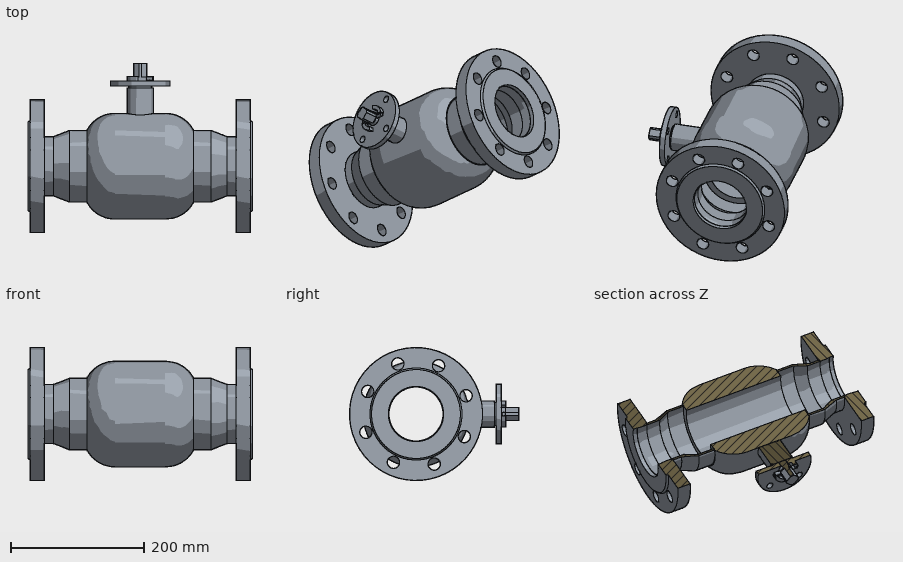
import cadquery as cq
import math


HALF_LENGTH = 168.5
FLANGE_RADIUS = 200.0 / 2
FLANGE_THICKNESS = 21.2
RAISED_FACE_HEIGHT = 3.5
RAISED_FACE_BASE_RADIUS = 69.0
RAISED_FACE_TIP_RADIUS = 66.7
FACE_BORE_RADIUS = 41.5
FACE_BORE_DEPTH = 6.7
TAPER_START_RADIUS = 41.0
TAPER_LENGTH = 5.5
BOLT_COUNT = 8
BOLT_CIRCLE_RADIUS = 80.0
BOLT_HOLE_RADIUS = 9.0
FIRST_BOLT_ANGLE = 20.0
FLANGE_FACE_X = HALF_LENGTH - RAISED_FACE_HEIGHT
FLANGE_BACK_X = FLANGE_FACE_X - FLANGE_THICKNESS

BORE_RADIUS = 40.5
PIPE_WALL = 4.0
NARROW_PIPE_RADIUS = BORE_RADIUS + PIPE_WALL
SEAT_DEPTH = 2.0
PIPE_END_X = FLANGE_BACK_X + SEAT_DEPTH
WIDE_PIPE_RADIUS = 54.0
CONE_OUTER_X = 130.5
CONE_INNER_X = 106.0
BORE_CONE_OUTER_X = 124.5

HOUSING_RADIUS = 79.5
HOUSING_END_X = 79.5
HOUSING_END_RADIUS = 55.3
DOME_START_X = 37.7

OVERALL_HEIGHT = 254.5
STEM_TOP_Y = OVERALL_HEIGHT - FLANGE_RADIUS
NECK_RADIUS = 20.0
SPIGOT_RADIUS = 17.5
NECK_SHOULDER_Y = STEM_TOP_Y - 36.7

DISC_RADIUS = 44.8
DISC_BACK_Y = STEM_TOP_Y - 34.5
DISC_FRONT_Y = STEM_TOP_Y - 26.3
DISC_HOLE_COUNT = 4
DISC_HOLE_CIRCLE_RADIUS = 35.0
DISC_HOLE_RADIUS = 5.0
FIRST_DISC_HOLE_ANGLE = 45.0
STOP_TOP_Y = STEM_TOP_Y - 19.5
STOP_INNER_RADIUS = 14.0
STOP_END_OFFSET = 3.0

STEM_RADIUS = 20.0 / 2
STEM_SQUARE_SIDE = 17.0
STEM_SQUARE_ANGLE = 45.0
SQUARE_BASE_Y = STOP_TOP_Y - 1.0
PIN_RADIUS = 2.7
PIN_HALF_LENGTH = 18.5
PIN_Y = STEM_TOP_Y - 23.0


def cylinder_y(radius, y_start, y_end):
    """Round bar on the stem axis between two heights."""
    return cq.Workplane("XZ", origin=(0, y_start, 0)).circle(radius).extrude(y_start - y_end)


def cylinder_x(radius, x_start, x_end):
    """Round bar on the flow axis between two stations."""
    return cq.Workplane("YZ", origin=(x_start, 0, 0)).circle(radius).extrude(x_end - x_start)


def revolve_x(profile):
    """Full turn of a closed XY profile about the flow axis."""
    return profile.close().revolve(360, (0, 0, 0), (1, 0, 0))


def make_housing():
    """Body with the through bore, the domes meeting flat ring ends."""
    dome_length = HOUSING_END_X - DOME_START_X
    dome_drop = HOUSING_RADIUS - HOUSING_END_RADIUS
    dome_radius = (dome_length**2 + dome_drop**2) / (2 * dome_drop)
    half_angle = math.asin(dome_length / dome_radius) / 2
    mid_x = DOME_START_X + dome_radius * math.sin(half_angle)
    mid_radius = HOUSING_RADIUS - dome_radius * (1 - math.cos(half_angle))
    profile = (
        cq.Workplane("XY")
        .moveTo(-HOUSING_END_X, BORE_RADIUS)
        .lineTo(-HOUSING_END_X, HOUSING_END_RADIUS)
        .threePointArc((-mid_x, mid_radius), (-DOME_START_X, HOUSING_RADIUS))
        .lineTo(DOME_START_X, HOUSING_RADIUS)
        .threePointArc((mid_x, mid_radius), (HOUSING_END_X, HOUSING_END_RADIUS))
        .lineTo(HOUSING_END_X, BORE_RADIUS)
    )
    return revolve_x(profile)


def make_end_pipe(side):
    """Pipe between housing and flange; side is -1 or +1 along X."""
    profile = cq.Workplane("XY").polyline([
        (side * HOUSING_END_X, WIDE_PIPE_RADIUS),
        (side * CONE_INNER_X, WIDE_PIPE_RADIUS),
        (side * CONE_OUTER_X, NARROW_PIPE_RADIUS),
        (side * PIPE_END_X, NARROW_PIPE_RADIUS),
        (side * PIPE_END_X, BORE_RADIUS),
        (side * BORE_CONE_OUTER_X, BORE_RADIUS),
        (side * CONE_INNER_X, WIDE_PIPE_RADIUS - PIPE_WALL),
        (side * HOUSING_END_X, WIDE_PIPE_RADIUS - PIPE_WALL),
    ])
    return revolve_x(profile)


def make_flange(side):
    """Bolted flange with a raised face and a pipe seat; side is -1 or +1 along X."""
    taper_start_x = HALF_LENGTH - FACE_BORE_DEPTH
    profile = cq.Workplane("XY").polyline([
        (side * PIPE_END_X, BORE_RADIUS),
        (side * PIPE_END_X, NARROW_PIPE_RADIUS),
        (side * FLANGE_BACK_X, NARROW_PIPE_RADIUS),
        (side * FLANGE_BACK_X, FLANGE_RADIUS),
        (side * FLANGE_FACE_X, FLANGE_RADIUS),
        (side * FLANGE_FACE_X, RAISED_FACE_BASE_RADIUS),
        (side * HALF_LENGTH, RAISED_FACE_TIP_RADIUS),
        (side * HALF_LENGTH, FACE_BORE_RADIUS),
        (side * taper_start_x, FACE_BORE_RADIUS),
        (side * taper_start_x, TAPER_START_RADIUS),
        (side * (taper_start_x - TAPER_LENGTH), BORE_RADIUS),
    ])
    bolt_holes = (
        cq.Workplane("YZ", origin=(side * FLANGE_BACK_X, 0, 0))
        .polarArray(BOLT_CIRCLE_RADIUS, FIRST_BOLT_ANGLE, 360, BOLT_COUNT)
        .circle(BOLT_HOLE_RADIUS)
        .extrude(side * FLANGE_THICKNESS)
    )
    return revolve_x(profile).cut(bolt_holes)


def make_neck():
    """Post on the housing, its foot shaped to the housing's cylinder."""
    post = cylinder_y(NECK_RADIUS, 0, NECK_SHOULDER_Y)
    spigot = cylinder_y(SPIGOT_RADIUS, NECK_SHOULDER_Y, DISC_BACK_Y)
    return post.union(spigot).cut(cylinder_x(HOUSING_RADIUS, -DOME_START_X, DOME_START_X))


def make_stops():
    """Two opposite ring segments that limit the swing of the cross pin."""
    height = STOP_TOP_Y - DISC_FRONT_Y
    ring = cylinder_y(NECK_RADIUS, DISC_FRONT_Y, STOP_TOP_Y)
    ring = ring.cut(cylinder_y(STOP_INNER_RADIUS, DISC_FRONT_Y, STOP_TOP_Y))
    quadrant_centre = STOP_END_OFFSET + NECK_RADIUS / 2
    quadrants = (
        cq.Workplane("XZ", origin=(0, DISC_FRONT_Y, 0))
        .pushPoints([(-quadrant_centre, quadrant_centre), (quadrant_centre, -quadrant_centre)])
        .rect(NECK_RADIUS, NECK_RADIUS)
        .extrude(-height)
    )
    return ring.intersect(quadrants)


def make_disc():
    """Mounting disc with screw holes, a stem hole and the stops on its front."""
    holes = (
        cq.Workplane("XZ", origin=(0, DISC_BACK_Y, 0))
        .polarArray(DISC_HOLE_CIRCLE_RADIUS, FIRST_DISC_HOLE_ANGLE, 360, DISC_HOLE_COUNT)
        .circle(DISC_HOLE_RADIUS)
        .extrude(DISC_BACK_Y - DISC_FRONT_Y)
    )
    plate = cylinder_y(DISC_RADIUS, DISC_BACK_Y, DISC_FRONT_Y).cut(holes)
    plate = plate.cut(cylinder_y(STEM_RADIUS, DISC_BACK_Y, DISC_FRONT_Y))
    return plate.union(make_stops())


def make_pin():
    """Cross pin through the stem, parallel to the flow axis."""
    return cylinder_x(PIN_RADIUS, -PIN_HALF_LENGTH, PIN_HALF_LENGTH).translate((0, PIN_Y, 0))


def make_stem(pin):
    """Round stem, its top a square turned corner-up with corners left round."""
    shaft = cylinder_y(STEM_RADIUS, DISC_BACK_Y, SQUARE_BASE_Y)
    square = (
        cq.Workplane("XZ", origin=(0, SQUARE_BASE_Y, 0))
        .transformed(rotate=(0, 0, STEM_SQUARE_ANGLE))
        .rect(STEM_SQUARE_SIDE, STEM_SQUARE_SIDE)
        .extrude(SQUARE_BASE_Y - STEM_TOP_Y)
    )
    square = square.intersect(cylinder_y(STEM_RADIUS, SQUARE_BASE_Y, STEM_TOP_Y))
    return shaft.union(square).cut(pin)


housing = make_housing()
end_pipes = [make_end_pipe(side) for side in (-1, 1)]
flanges = [make_flange(side) for side in (-1, 1)]
neck = make_neck()
disc = make_disc()
pin = make_pin()
stem = make_stem(pin)

result = cq.Compound.makeCompound([
    housing.val(),
    *[pipe.val() for pipe in end_pipes],
    *[flange.val() for flange in flanges],
    neck.val(),
    disc.val(),
    pin.val(),
    stem.val(),
])